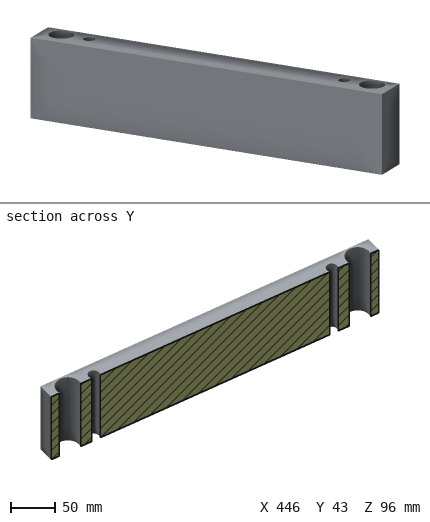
import cadquery as cq

length = 446.0
width = 43.0
height = 96.0

hole_row_y = 4.5
large_hole_diameter = 30.0
large_hole_spacing = 394.3
small_hole_diameter = 14.0
small_hole_spacing = 324.0


def drill_pair(body, spacing, diameter):
    """Drill two through holes from the top face, mirrored about X = 0."""
    centres = [(-spacing / 2, hole_row_y), (spacing / 2, hole_row_y)]
    return body.faces(">Z").workplane(origin=(0, 0, height)).pushPoints(centres).hole(diameter)


bar = cq.Workplane("XY").box(length, width, height, centered=(True, True, False))
bar = drill_pair(bar, large_hole_spacing, large_hole_diameter)
result = drill_pair(bar, small_hole_spacing, small_hole_diameter)